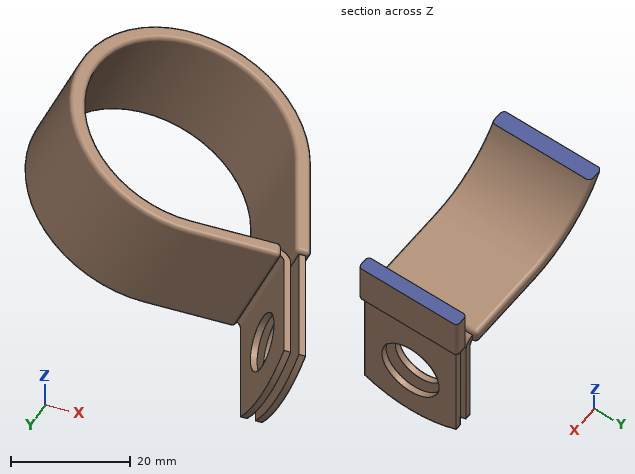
import cadquery as cq
import math


bore_radius = 19.05
cushion_thickness = 0.79375
strap_thickness = 1.218
strap_width = 19.05
tab_gap = 1.5
bend_inner_radius = 1.2
lower_cushion_end_x = 16.45
tab_tip_z = -43.635
tab_tip_sag = 2.15
bent_tab_hole_diameter = 10.3
straight_tab_hole_diameter = 11.9
hole_z = -32.5

cushion_width = strap_width + 2 * cushion_thickness
strap_inner_radius = bore_radius + cushion_thickness
strap_outer_radius = strap_inner_radius + strap_thickness
loop_outer_radius = strap_outer_radius + cushion_thickness
upper_cushion_end_z = -strap_inner_radius
bent_tab_outer_x = strap_inner_radius - tab_gap
bent_tab_inner_x = bent_tab_outer_x - strap_thickness
bend_outer_radius = bend_inner_radius + strap_thickness
bend_center_x = bent_tab_outer_x - bend_outer_radius
bend_center_z = -strap_inner_radius - bend_outer_radius
strap_overlap = cushion_thickness
cos_45 = math.cos(math.radians(45))


def extrude_across_width(profile, width):
    """Extrude an XZ profile symmetrically about the Y = 0 plane."""
    return profile.extrude(width / 2, both=True)


def face_at(x, z):
    """Select the face whose centre lies at (x, 0, z)."""
    reach = cushion_thickness / 2
    return cq.selectors.BoxSelector((x - reach, -reach, z - reach), (x + reach, reach, z + reach))


def make_cushion():
    """Three-quarter loop with a straight leg at each end and every outer edge rounded."""
    profile = (
        cq.Workplane("XZ")
        .moveTo(loop_outer_radius, upper_cushion_end_z)
        .lineTo(loop_outer_radius, 0)
        .threePointArc(
            (-loop_outer_radius * cos_45, loop_outer_radius * cos_45),
            (0, -loop_outer_radius),
        )
        .lineTo(lower_cushion_end_x, -loop_outer_radius)
        .lineTo(lower_cushion_end_x, -bore_radius)
        .lineTo(0, -bore_radius)
        .threePointArc(
            (-bore_radius * cos_45, bore_radius * cos_45),
            (bore_radius, 0),
        )
        .lineTo(bore_radius, upper_cushion_end_z)
        .close()
    )
    cushion = extrude_across_width(profile, cushion_width)
    side_edges = cushion.faces("<Y or >Y").edges()
    leg_middle = (bore_radius + loop_outer_radius) / 2
    lower_end_edges = cushion.faces(face_at(lower_cushion_end_x, -leg_middle)).edges()
    upper_end_edges = cushion.faces(face_at(leg_middle, upper_cushion_end_z)).edges()
    rounded_edges = side_edges.add(lower_end_edges).add(upper_end_edges)
    return rounded_edges.fillet(cushion_thickness)


def make_straight_tab():
    """Tab that runs straight down from the upper leg."""
    profile = (
        cq.Workplane("XZ")
        .moveTo(strap_inner_radius, upper_cushion_end_z + strap_overlap)
        .lineTo(strap_outer_radius, upper_cushion_end_z + strap_overlap)
        .lineTo(strap_outer_radius, tab_tip_z)
        .lineTo(strap_inner_radius, tab_tip_z)
        .close()
    )
    return extrude_across_width(profile, strap_width)


def make_bent_tab():
    """Tab that leaves the lower leg and bends down beside the straight tab."""
    start_x = bend_center_x - strap_overlap
    profile = (
        cq.Workplane("XZ")
        .moveTo(start_x, -strap_inner_radius)
        .lineTo(bend_center_x, -strap_inner_radius)
        .threePointArc(
            (bend_center_x + bend_outer_radius * cos_45, bend_center_z + bend_outer_radius * cos_45),
            (bent_tab_outer_x, bend_center_z),
        )
        .lineTo(bent_tab_outer_x, tab_tip_z)
        .lineTo(bent_tab_inner_x, tab_tip_z)
        .lineTo(bent_tab_inner_x, bend_center_z)
        .threePointArc(
            (bend_center_x + bend_inner_radius * cos_45, bend_center_z + bend_inner_radius * cos_45),
            (bend_center_x, -strap_outer_radius),
        )
        .lineTo(start_x, -strap_outer_radius)
        .close()
    )
    return extrude_across_width(profile, strap_width)


def shape_tab(tab, hole_diameter):
    """Trim a tab to its bowed tip and cut its bolt hole."""
    half_width = strap_width / 2
    corner_z = tab_tip_z + tab_tip_sag
    outline = (
        cq.Workplane("YZ")
        .moveTo(-half_width, 0)
        .lineTo(-half_width, corner_z)
        .threePointArc((0, tab_tip_z), (half_width, corner_z))
        .lineTo(half_width, 0)
        .close()
        .extrude(loop_outer_radius)
    )
    hole = (
        cq.Workplane("YZ")
        .center(0, hole_z)
        .circle(hole_diameter / 2)
        .extrude(loop_outer_radius)
    )
    return tab.intersect(outline).cut(hole)


straight_tab = shape_tab(make_straight_tab(), straight_tab_hole_diameter)
bent_tab = shape_tab(make_bent_tab(), bent_tab_hole_diameter)
result = make_cushion().union(straight_tab).union(bent_tab)